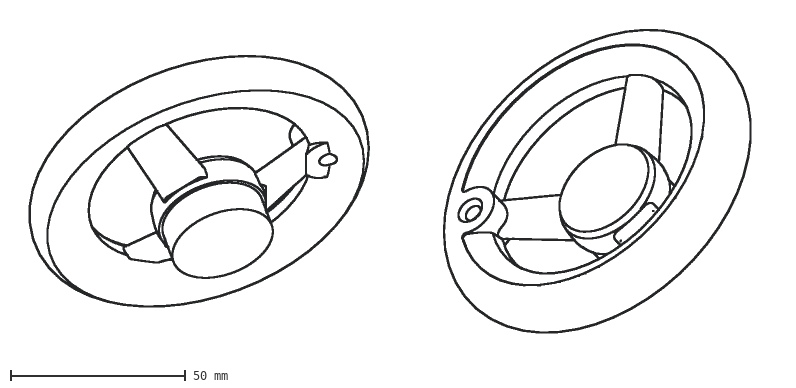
import cadquery as cq
import math

FULL_TURN = 360.0

RIM_BAR_RADIUS = 8.5
RIM_OUTER_RADIUS = 50.25
RIM_PITCH_RADIUS = RIM_OUTER_RADIUS - RIM_BAR_RADIUS
RIM_BACK_X = 15.0
RIM_STEP_RADIUS = 41.3
RIM_STEP_DEPTH = 0.4
RIM_BORE_FRONT_X = 5.2
RIM_BORE_BACK_X = 9.6
RIM_BORE_BACK_RADIUS = 33.2

HUB_FRONT_X = 12.0
HUB_CHAMFER_END_X = 14.0
HUB_WIDEST_X = 18.0
HUB_TAPER_X = 20.0
HUB_BACK_X = 22.0
HUB_FACE_RADIUS = 15.0
HUB_EDGE_RADIUS = 16.0
HUB_WIDEST_RADIUS = 16.45
SLEEVE_RADIUS = 15.0
SLEEVE_END_X = 32.0

SPOKE_COUNT = 3
SPOKE_INNER_RADIUS = 12.0
SPOKE_OUTER_RADIUS = 36.0
SPOKE_INNER_BACK_X = 22.7
SPOKE_OUTER_BACK_X = 8.5
SPOKE_INNER_THICKNESS = 6.6
SPOKE_OUTER_THICKNESS = 4.7
SPOKE_INNER_WIDTH = 15.3
SPOKE_OUTER_WIDTH = 12.5
SPOKE_CORNER_RADIUS = 2.2
SPOKE_LIMIT_X = HUB_TAPER_X

BOSS_Y = 37.5
BOSS_RADIUS = 8.0
BOSS_DEPTH = 11.5
BOSS_FLARE_RADIUS = 1.2
HOLE_DIAMETER = 5.0
COUNTERSINK_DIAMETER = 8.0
COUNTERSINK_ANGLE = 90.0


def revolve_about_x(profile):
    """Turn an (X, radius) outline into a solid of revolution about X."""
    return profile.close().revolve(FULL_TURN, (0, 0, 0), (1, 0, 0))


def arc_height(radius, x):
    """Half height, at a given X, of a round bar centred like the rim bar."""
    return math.sqrt(radius**2 - (x - RIM_BAR_RADIUS) ** 2)


def make_rim():
    inner_bar_radius = RIM_BAR_RADIUS - RIM_STEP_DEPTH
    bore_arc_mid_x = (RIM_STEP_DEPTH + RIM_BORE_FRONT_X) / 2
    bore_arc_mid_radius = RIM_STEP_RADIUS - arc_height(inner_bar_radius, bore_arc_mid_x)
    bore_front_radius = RIM_STEP_RADIUS - arc_height(inner_bar_radius, RIM_BORE_FRONT_X)
    back_radius = RIM_PITCH_RADIUS + arc_height(RIM_BAR_RADIUS, RIM_BACK_X)
    profile = (
        cq.Workplane("XY")
        .moveTo(0, RIM_PITCH_RADIUS)
        .threePointArc((RIM_BAR_RADIUS, RIM_OUTER_RADIUS), (RIM_BACK_X, back_radius))
        .lineTo(RIM_BORE_BACK_X, RIM_BORE_BACK_RADIUS)
        .lineTo(RIM_BORE_FRONT_X, bore_front_radius)
        .threePointArc((bore_arc_mid_x, bore_arc_mid_radius), (RIM_STEP_DEPTH, RIM_STEP_RADIUS))
    )
    return revolve_about_x(profile)


def make_hub():
    profile = (
        cq.Workplane("XY")
        .moveTo(HUB_FRONT_X, 0)
        .lineTo(HUB_FRONT_X, HUB_FACE_RADIUS)
        .lineTo(HUB_CHAMFER_END_X, HUB_EDGE_RADIUS)
        .lineTo(HUB_WIDEST_X, HUB_WIDEST_RADIUS)
        .lineTo(HUB_TAPER_X, HUB_WIDEST_RADIUS)
        .lineTo(HUB_BACK_X, HUB_EDGE_RADIUS)
        .lineTo(HUB_BACK_X, SLEEVE_RADIUS)
        .lineTo(SLEEVE_END_X, SLEEVE_RADIUS)
        .lineTo(SLEEVE_END_X, 0)
    )
    return revolve_about_x(profile)


def spoke_section(thickness, width):
    """Rounded cross-section of a spoke."""
    return cq.Sketch().rect(thickness, width).vertices().fillet(SPOKE_CORNER_RADIUS)


def make_spoke():
    """Spoke along +Y, lofted from hub to rim and trimmed flush where the hub tapers."""
    inner_x = SPOKE_INNER_BACK_X - SPOKE_INNER_THICKNESS / 2
    outer_x = SPOKE_OUTER_BACK_X - SPOKE_OUTER_THICKNESS / 2
    length = SPOKE_OUTER_RADIUS - SPOKE_INNER_RADIUS
    inner = spoke_section(SPOKE_INNER_THICKNESS, SPOKE_INNER_WIDTH)
    outer = spoke_section(SPOKE_OUTER_THICKNESS, SPOKE_OUTER_WIDTH)
    hub_end = cq.Plane(origin=(inner_x, SPOKE_INNER_RADIUS, 0), xDir=(1, 0, 0), normal=(0, 1, 0))
    outer_place = cq.Location(cq.Vector(outer_x - inner_x, 0, length))
    bar = cq.Workplane(hub_end).placeSketch(inner, outer.moved(outer_place)).loft(ruled=True)
    limit = cq.Workplane("YZ").circle(RIM_OUTER_RADIUS).extrude(SPOKE_LIMIT_X)
    return bar.intersect(limit)


def make_boss():
    """Round boss that flares into the step at the front of the rim."""
    step_ring = cq.Workplane("YZ").circle(RIM_PITCH_RADIUS).circle(RIM_STEP_RADIUS).extrude(BOSS_DEPTH)
    limit = cq.Workplane("YZ").circle(RIM_PITCH_RADIUS).extrude(BOSS_DEPTH)
    cylinder = cq.Workplane("YZ").center(BOSS_Y, 0).circle(BOSS_RADIUS).extrude(BOSS_DEPTH)
    flared = step_ring.union(cylinder.intersect(limit))
    inner_corners = cq.selectors.BoxSelector(
        (0, BOSS_Y, -BOSS_RADIUS), (BOSS_DEPTH, RIM_STEP_RADIUS, BOSS_RADIUS)
    )
    return flared.edges("|X").edges(inner_corners).fillet(BOSS_FLARE_RADIUS)


def make_handle_hole():
    """Through hole with a countersink at the front of the boss."""
    hole_radius = HOLE_DIAMETER / 2
    sink_radius = COUNTERSINK_DIAMETER / 2
    sink_depth = (sink_radius - hole_radius) / math.tan(math.radians(COUNTERSINK_ANGLE / 2))
    profile = (
        cq.Workplane("XY")
        .moveTo(0, 0)
        .lineTo(0, sink_radius)
        .lineTo(sink_depth, hole_radius)
        .lineTo(RIM_BACK_X, hole_radius)
        .lineTo(RIM_BACK_X, 0)
    )
    return revolve_about_x(profile).translate((0, BOSS_Y, 0))


result = make_rim().union(make_hub())
for index in range(SPOKE_COUNT):
    angle = index * FULL_TURN / SPOKE_COUNT
    result = result.union(make_spoke().rotate((0, 0, 0), (1, 0, 0), angle))
result = result.union(make_boss()).cut(make_handle_hole())